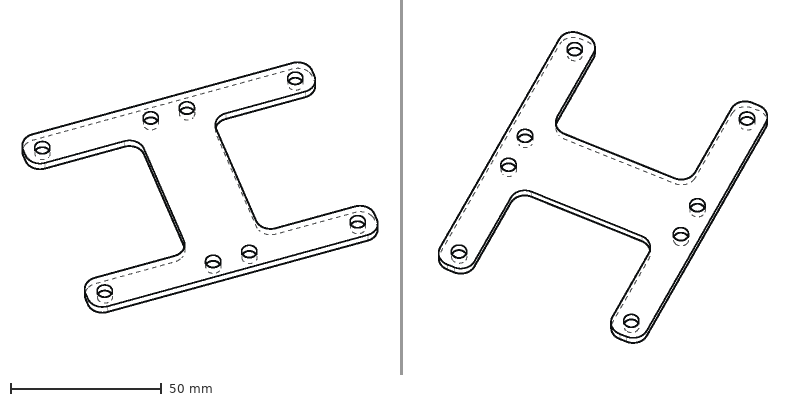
import cadquery as cq

width = 76.2
length = 101.6
thickness = 3.1

arm_width = 12.7
web_length = 25.4
corner_radius = 5.1
hole_diameter = 5.1

hole_inset = arm_width / 2
hole_x = width / 2 - hole_inset
hole_rows = (length / 2 - hole_inset, web_length / 2 - hole_inset)


def make_plate():
    """H-shaped plate with every outer and inner corner rounded."""
    web = cq.Workplane("XY").box(width, web_length, thickness)
    arms = (
        cq.Workplane("XY")
        .pushPoints([(-hole_x, 0), (hole_x, 0)])
        .box(arm_width, length, thickness)
    )
    return web.union(arms).clean().edges("|Z").fillet(corner_radius)


def hole_points():
    """Hole centres, mirrored about both centrelines of the plate."""
    return [
        (x_side * hole_x, y_side * row)
        for x_side in (-1, 1)
        for y_side in (-1, 1)
        for row in hole_rows
    ]


result = make_plate().faces(">Z").workplane(origin=(0, 0, 0)).pushPoints(hole_points()).hole(hole_diameter)